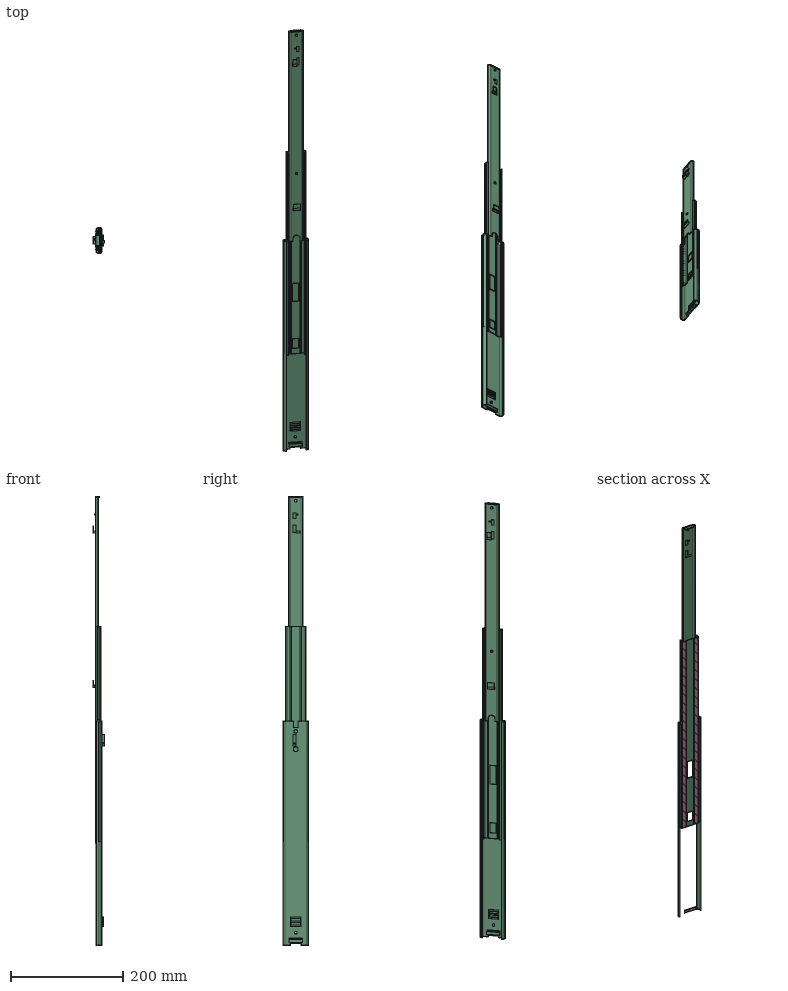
import cadquery as cq
import math

length = 800.0
half_length = length / 2
sheet = 1.2
depth = 21.0
half_depth = depth / 2

outer_half_width = 22.8
outer_back = 6.0
outer_front = -5.2
outer_corner = 3.0
outer_lip_radius = 5.0
outer_top = 0.0
outer_bottom = -half_length

middle_half_width = 18.0
middle_back = 3.6
middle_front = -5.8
middle_corner = 3.0
middle_lip_radius = 3.0
middle_top = 169.0
middle_bottom = -218.0
raised_half_width = 8.0
raised_height = 1.2
raised_slope = 2.0
window_width = 11.0
middle_windows = ((-118.0, -83.0), (-207.0, -189.0))

inner_half_width = 13.2
inner_front = -6.0
inner_back = -1.0
inner_corner = 3.6
inner_top = half_length
inner_bottom = 0.0
inner_end_flange_depth = 7.6
inner_end_flange_width = 19.0
inner_hole_diameter = 4.0
inner_hole_heights = (129.0, 393.0)
arch_radius = 6.0
arch_height = 11.0

inner_hooks = (
    ((0.0, 7.0), (335.0, 348.0)),
    ((-6.0, 6.0), (60.0, 72.0)),
)
hook_leg_height = 4.0
catch_y = (0.0, 4.0)
catch_z = (367.0, 369.0)
catch_reach = 2.0
relief_y = (-5.0, 0.0)
relief_depth = 0.6
relief_heights = ((336.0, 350.0), (362.0, 371.0))

outer_notch_width = 8.0
outer_notch_depth = 12.0
outer_holes = ((-18.0, 6.0), (-50.0, 9.0), (-378.0, 4.0))
tongue_y = (-5.0, 0.0)
tongue_z = (-45.0, -24.0)
tongue_groove_z = (-41.0, -39.0)
tongue_groove_depth = 2.0
pad_half_width = 10.0
pad_z = (-366.0, -350.0)
pad_height = 2.8
pad_pocket_height = 4.0
ledge_half_width = 12.0
ledge_z = (-395.0, -390.0)
ledge_reach = 2.8
ledge_slot_height = 2.0
end_cut_half_width = 10.0
end_cut_depth = 2.8

strip_setback = 2.0
outer_strip_x = (outer_front + outer_lip_radius, outer_back - outer_corner)
outer_strip_y = (middle_half_width, outer_half_width - sheet)
outer_strip_z = (middle_bottom + strip_setback, outer_top - strip_setback)
inner_strip_x = (middle_front + middle_lip_radius, middle_back - middle_corner)
inner_strip_y = (inner_half_width, middle_half_width - sheet)
inner_strip_z = (inner_bottom + strip_setback, middle_top - strip_setback)


def block(x_range, y_range, z_range):
    """Box between two limits along each axis."""
    sizes = [high - low for low, high in (x_range, y_range, z_range)]
    corner = (x_range[0], y_range[0], z_range[0])
    return cq.Workplane("XY").box(*sizes, centered=False).translate(corner)


def drill(x, z, diameter):
    """Cutter for a round hole along X through one sheet that starts at x."""
    return cq.Workplane("YZ", origin=(x, 0, z)).circle(diameter / 2).extrude(sheet)


def lipped_channel(half_width, back, front, corner, lip_radius, bottom, top):
    """Channel with its web at the back, round corners and flanges that curl in to form lips."""
    def outline(offset):
        edge = half_width - offset
        web = back - offset
        bend = corner - offset
        curl = lip_radius - offset
        diagonal = math.sqrt(0.5)
        lip_start = front + lip_radius
        lip_end = half_width - lip_radius
        return [
            (web, 0),
            (web, half_width - corner),
            (web - bend * (1 - diagonal), edge - bend * (1 - diagonal)),
            (back - corner, edge),
            (lip_start, edge),
            (lip_start - curl * diagonal, lip_end + curl * diagonal),
            (lip_start - curl, lip_end),
        ]

    out = outline(0)
    inside = outline(sheet)
    half = (
        cq.Workplane("XY", origin=(0, 0, bottom))
        .moveTo(*out[0])
        .lineTo(*out[1])
        .threePointArc(out[2], out[3])
        .lineTo(*out[4])
        .threePointArc(out[5], out[6])
        .lineTo(*inside[6])
        .threePointArc(inside[5], inside[4])
        .lineTo(*inside[3])
        .threePointArc(inside[2], inside[1])
        .lineTo(*inside[0])
        .close()
        .extrude(top - bottom)
    )
    return half.union(half.mirror("XZ")).clean()


def add_outer_mounts(rail):
    """Tongue near the top and pocketed pad near the bottom, both standing out of the web towards +X."""
    tongue = block((outer_back, half_depth), tongue_y, tongue_z)
    groove = block((half_depth - tongue_groove_depth, half_depth), tongue_y, tongue_groove_z)
    pad_y = (-pad_half_width, pad_half_width)
    pad_back = outer_back + pad_height
    rail = rail.union(tongue.cut(groove)).union(block((outer_back, pad_back), pad_y, pad_z))

    pocket_count = 2
    bar = (pad_z[1] - pad_z[0] - pocket_count * pad_pocket_height) / (pocket_count + 1)
    pocket_y = (sheet - pad_half_width, pad_half_width - sheet)
    for row in range(pocket_count):
        pocket_bottom = pad_z[0] + bar + row * (bar + pad_pocket_height)
        pocket_z = (pocket_bottom, pocket_bottom + pad_pocket_height)
        rail = rail.cut(block((outer_back - sheet, pad_back - sheet), pocket_y, pocket_z))
    return rail


def add_outer_ledge(rail):
    """Stop ledge at the bottom, bent inwards from an opening in the web."""
    ledge_y = (-ledge_half_width, ledge_half_width)
    web_front = outer_back - sheet
    opening = block((web_front, outer_back), ledge_y, (ledge_z[1], ledge_z[1] + ledge_slot_height))
    ledge = block((web_front - ledge_reach, web_front), ledge_y, ledge_z)
    return rail.cut(opening).union(ledge)


def make_outer_rail():
    rail = lipped_channel(outer_half_width, outer_back, outer_front, outer_corner,
                          outer_lip_radius, outer_bottom, outer_top)
    rail = add_outer_ledge(add_outer_mounts(rail))

    web_x = (outer_back - sheet, outer_back)
    notch_half_width = outer_notch_width / 2
    top_notch_z = (outer_top - outer_notch_depth, outer_top)
    rail = rail.cut(block(web_x, (-notch_half_width, notch_half_width), top_notch_z))
    end_cut_z = (outer_bottom, outer_bottom + end_cut_depth)
    rail = rail.cut(block(web_x, (-end_cut_half_width, end_cut_half_width), end_cut_z))
    for z, diameter in outer_holes:
        rail = rail.cut(drill(web_x[0], z, diameter))
    return rail


def raise_middle_web(rail):
    """Replace the centre of the web by a strip that is raised towards -X between two slopes."""
    foot = raised_half_width + raised_slope
    web_front = middle_back - sheet
    raised_front = web_front - raised_height
    raised_back = middle_back - raised_height
    strip = (
        cq.Workplane("XY", origin=(0, 0, middle_bottom))
        .polyline([
            (web_front, -foot),
            (raised_front, -raised_half_width),
            (raised_front, raised_half_width),
            (web_front, foot),
            (middle_back, foot),
            (raised_back, raised_half_width),
            (raised_back, -raised_half_width),
            (middle_back, -foot),
        ])
        .close()
        .extrude(middle_top - middle_bottom)
    )
    removed = block((web_front, middle_back), (-foot, foot), (middle_bottom, middle_top))
    return rail.cut(removed).union(strip)


def make_middle_rail():
    rail = lipped_channel(middle_half_width, middle_back, middle_front, middle_corner,
                          middle_lip_radius, middle_bottom, middle_top)
    rail = raise_middle_web(rail)

    half_window = window_width / 2
    raised_back = middle_back - raised_height
    for window_z in middle_windows:
        rail = rail.cut(block((raised_back - sheet, raised_back), (-half_window, half_window), window_z))
    return rail


def add_inner_hook(rail, y_range, z_range):
    """L-shaped hook: a leg in front of the web that carries a plate parallel to it."""
    leg = block((-half_depth, inner_front), y_range, (z_range[0], z_range[0] + hook_leg_height))
    plate = block((-half_depth, sheet - half_depth), y_range, z_range)
    return rail.union(leg.union(plate))


def add_inner_catch(rail):
    """Small catch standing out of the web, and the recesses beside it and the upper hook."""
    rail = rail.union(block((inner_front - catch_reach, inner_front), catch_y, catch_z))
    for relief_z in relief_heights:
        rail = rail.cut(block((inner_front, inner_front + relief_depth), relief_y, relief_z))
    return rail


def make_inner_rail():
    side_y = (-inner_half_width, inner_half_width)
    cavity_y = (sheet - inner_half_width, inner_half_width - sheet)
    rail_z = (inner_bottom, inner_top)
    web_x = (inner_front, inner_front + sheet)
    rail = block((inner_front, inner_back), side_y, rail_z).edges("<X and |Z").fillet(inner_corner)
    cavity = block((web_x[1], inner_back), cavity_y, rail_z).edges("<X and |Z").fillet(inner_corner - sheet)
    rail = rail.cut(cavity)

    half_flange = inner_end_flange_width / 2
    end_flange_x = (inner_front, inner_front + inner_end_flange_depth)
    end_flange_z = (inner_top - sheet, inner_top)
    rail = rail.union(block(end_flange_x, (-half_flange, half_flange), end_flange_z))

    for y_range, z_range in inner_hooks:
        rail = add_inner_hook(rail, y_range, z_range)
    rail = add_inner_catch(rail)
    for z in inner_hole_heights:
        rail = rail.cut(drill(inner_front, z, inner_hole_diameter))

    arch_centre = inner_bottom + arch_height - arch_radius
    arch = drill(inner_front, arch_centre, 2 * arch_radius)
    arch = arch.union(block(web_x, (-arch_radius, arch_radius), (inner_bottom, arch_centre)))
    return rail.cut(arch)


def make_strip_pair(x_range, y_range, z_range):
    """Two equal ball strips, one on each side of the slide."""
    strip = block(x_range, y_range, z_range)
    return [strip, strip.mirror("XZ")]


outer_rail = make_outer_rail()
middle_rail = make_middle_rail()
inner_rail = make_inner_rail()
outer_strips = make_strip_pair(outer_strip_x, outer_strip_y, outer_strip_z)
inner_strips = make_strip_pair(inner_strip_x, inner_strip_y, inner_strip_z)

result = cq.Compound.makeCompound([
    outer_rail.val(),
    middle_rail.val(),
    inner_rail.val(),
    *[strip.val() for strip in outer_strips],
    *[strip.val() for strip in inner_strips],
])